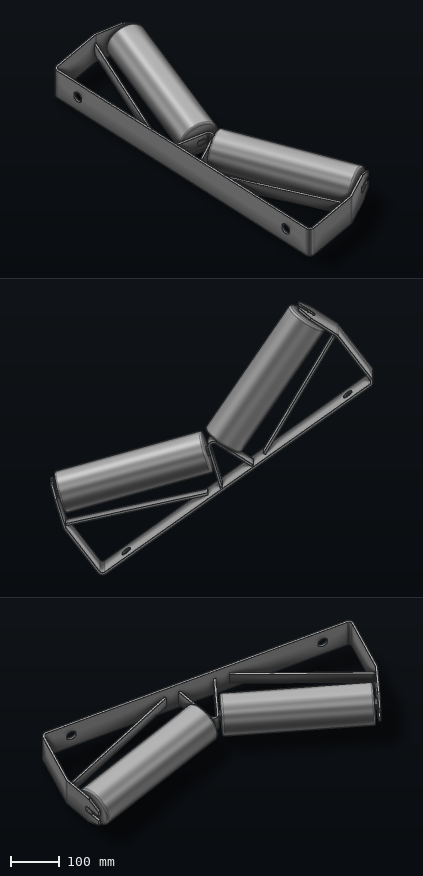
import cadquery as cq
import math

frame_length = 700.0
frame_height = 80.0
frame_thickness = 5.0
bend_radius = 12.0
fold_y = 129.5
lean = 20.0
ear_length = 94.5
ear_chamfer_length = 29.5
ear_chamfer_height = 17.0
mount_slot_x = 283.0
mount_slot_width = 20.0
mount_slot_height = 26.5

roller_diameter = 89.0
roller_length = 315.0
roller_rim_radius = 4.0
outer_gap = 7.0
inner_gap = 5.0
roller_position = 66.0
roller_dip = 1.2
shaft_diameter = 20.0
shaft_flats = 14.0
shaft_slot_width = 16.0
socket_overrun = 3.5

bracket_top_y = 96.5
bracket_radius = 12.5
bracket_thickness = 5.0
bracket_height = 42.0

brace_thickness = 5.0
brace_height = 30.0
brace_angle = 23.8
brace_top_y = 130.0

lean_sin = math.sin(math.radians(lean))
lean_cos = math.cos(math.radians(lean))
lean_tan = math.tan(math.radians(lean))
shaft_radius = shaft_diameter / 2
outer_stub = frame_thickness + outer_gap
inner_stub = bracket_thickness + inner_gap
shaft_length = outer_stub + roller_length + inner_stub
bracket_middle_z = -shaft_length * math.sin(math.radians(roller_dip))


def ear_plane(side):
    """Outer face of one ear (side -1 left, +1 right), x up along the ear, z square to it."""
    return cq.Plane(
        origin=(side * frame_length / 2, fold_y, 0),
        xDir=(-side * lean_sin, lean_cos, 0),
        normal=(lean_cos, side * lean_sin, 0),
    )


def roller_plane(side):
    """Plane square to a roller axis at the ear's outer face, its normal pointing inwards."""
    axis_point = ear_plane(side).toWorldCoords((roller_position, 0, 0))
    dip = math.radians(roller_dip)
    inward = (-side * lean_cos * math.cos(dip), -lean_sin * math.cos(dip), -math.sin(dip))
    return cq.Plane(origin=axis_point, xDir=(-side * lean_sin, lean_cos, 0), normal=inward)


def shaft_bar(side, across_flats, overrun=0.0):
    """Round bar along a roller axis with two flats, longer than the shaft by overrun at each end."""
    base = cq.Workplane(roller_plane(side)).workplane(offset=-overrun)
    length = shaft_length + 2 * overrun
    bar = base.circle(shaft_radius).extrude(length)
    return bar.intersect(base.rect(shaft_diameter, across_flats).extrude(length))


def shaft_socket(side):
    """Cutter for the round-ended seats that hold both ends of one shaft."""
    return shaft_bar(side, shaft_slot_width, socket_overrun)


def frame_block(inset):
    """Solid filling the frame outline moved inwards by inset, with rounded bends."""
    half_length = frame_length / 2 - inset
    fold = fold_y - inset * math.tan(math.radians(lean / 2))
    tip_y = fold_y + ear_length
    tip_x = half_length - (tip_y - fold) * lean_tan
    outline = [
        (-tip_x, tip_y), (-half_length, fold), (-half_length, inset),
        (half_length, inset), (half_length, fold), (tip_x, tip_y),
    ]
    block = cq.Workplane("XY").polyline(outline).close().extrude(frame_height / 2, both=True)
    return block.edges("|Z").edges("not(>Y)").fillet(bend_radius - inset)


def ear_trim(side):
    """Cutter that squares the ear tip and takes off its two corners."""
    half_height = frame_height / 2
    tip_half = half_height - ear_chamfer_height
    shoulder = ear_length - ear_chamfer_length
    beyond = ear_length + ear_chamfer_length
    outline = [
        (shoulder, half_height), (ear_length, tip_half), (ear_length, -tip_half),
        (shoulder, -half_height), (beyond, -half_height), (beyond, half_height),
    ]
    return cq.Workplane(ear_plane(side)).polyline(outline).close().extrude(bend_radius, both=True)


def ear_slot(side):
    """Slot from the roller axis out through the ear tip."""
    slot_length = ear_length - roller_position
    return (
        cq.Workplane(ear_plane(side))
        .center(roller_position + slot_length / 2, 0)
        .rect(slot_length, shaft_slot_width)
        .extrude(bend_radius, both=True)
    )


def make_frame():
    frame = frame_block(0).cut(frame_block(frame_thickness))
    for side in (-1, 1):
        frame = frame.cut(ear_trim(side)).cut(ear_slot(side)).cut(shaft_socket(side))
    mount_slots = (
        cq.Workplane("XZ")
        .pushPoints([(-mount_slot_x, 0), (mount_slot_x, 0)])
        .slot2D(mount_slot_height, mount_slot_width, 90)
        .extrude(-frame_thickness)
    )
    return frame.cut(mount_slots)


def make_roller(side):
    """Barrel with rounded rims on a shaft whose flats face up and down."""
    barrel = (
        cq.Workplane(roller_plane(side))
        .workplane(offset=outer_stub)
        .circle(roller_diameter / 2)
        .extrude(roller_length)
        .edges()
        .fillet(roller_rim_radius)
    )
    return barrel.union(shaft_bar(side, shaft_flats))


def bracket_block(inset):
    """Solid wedge filling the inverted V moved inwards by inset, with a rounded crest."""
    radius = bracket_radius - inset
    crest_centre_y = bracket_top_y - bracket_radius
    apex_y = crest_centre_y + radius / lean_sin
    foot_x = (apex_y - frame_thickness) * lean_tan
    outline = [(-foot_x, frame_thickness), (0, apex_y), (foot_x, frame_thickness)]
    middle = cq.Workplane("XY", origin=(0, 0, bracket_middle_z))
    wedge = middle.polyline(outline).close().extrude(bracket_height / 2, both=True)
    return wedge.edges("|Z and >Y").fillet(radius)


def make_bracket():
    bracket = bracket_block(0).cut(bracket_block(bracket_thickness))
    for side in (-1, 1):
        bracket = bracket.cut(shaft_socket(side))
    return bracket


def make_brace(side):
    """Flat bar from the fold of the frame down to its base, its upper end fitted to the bend."""
    slope = math.radians(brace_angle)
    thick_x = brace_thickness * math.sin(slope)
    thick_y = brace_thickness * math.cos(slope)
    top_x = frame_length / 2
    start_y = brace_top_y + frame_thickness * math.tan(slope)
    end_y = frame_thickness + thick_y
    end_x = top_x - (start_y - end_y) / math.tan(slope)
    outline = [
        (side * top_x, start_y),
        (side * end_x, end_y),
        (side * (end_x + thick_x), frame_thickness),
        (side * top_x, start_y - brace_thickness / math.cos(slope)),
    ]
    bar = cq.Workplane("XY").polyline(outline).close().extrude(brace_height / 2, both=True)
    return bar.intersect(frame_block(frame_thickness))


frame = make_frame()
bracket = make_bracket()
rollers = [make_roller(side) for side in (-1, 1)]
braces = [make_brace(side) for side in (-1, 1)]

result = cq.Compound.makeCompound([
    frame.val(),
    bracket.val(),
    *[roller.val() for roller in rollers],
    *[brace.val() for brace in braces],
])